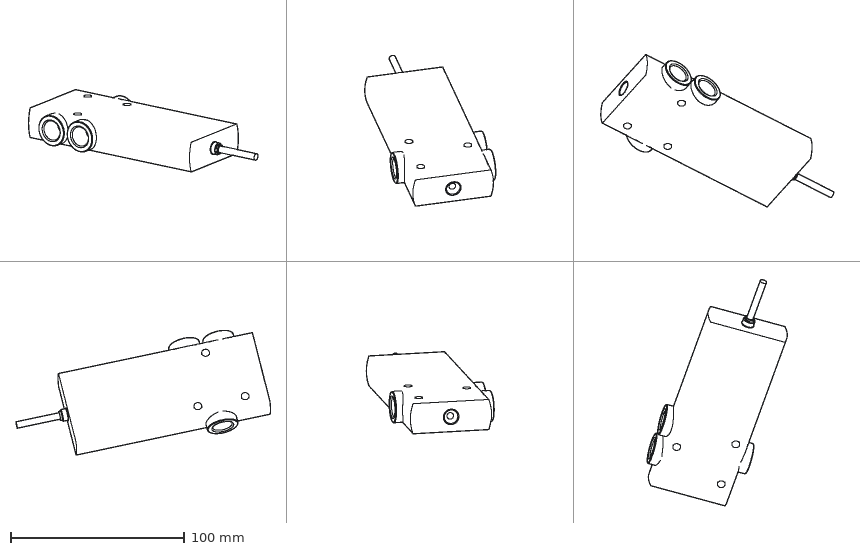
import cadquery as cq
import math

HEIGHT = 18.0
WIDTH = 48.0
VALVE_LENGTH = 56.0
COIL_LENGTH = 58.9
SIDE_RADIUS = 27.0
EDGE_FILLET = 0.5

BOSS_DIAMETER = 18.2
BOSS_REACH = 28.0
BOSS_ROOT_INSET = 4.0
BOSS_CHAMFER = 0.4
BORE_DIAMETER = 11.45
BORE_DEPTH = 14.0
BORE_CHAMFER = 0.75
CENTRE_PORT_X = 29.25
PORT_OFFSET_X = 10.1

MOUNT_DIAMETER = 4.5
MOUNT_Y = 16.0
FRONT_MOUNT_X = 13.25
REAR_MOUNT_X = 41.25

CAP_DIAMETER = 18.25
CAP_RISE = 0.5
RECESS_DIAMETER = 9.2
FUNNEL_DIAMETER = 8.0
FUNNEL_CHAMFER_DEPTH = 0.3
FUNNEL_DEPTH = 2.0
FUNNEL_END_DIAMETER = 3.9

CABLE_DIAMETER = 3.9
CABLE_LENGTH = 30.0
FLANGE_DIAMETER = 7.5
FLANGE_LENGTH = 0.3
COLLAR_DIAMETER = 7.0
COLLAR_END = 3.5
COLLAR_CHAMFER = 0.5
SLEEVE_DIAMETER = 5.4
SLEEVE_END = 4.5

HALF_HEIGHT = HEIGHT / 2
HALF_WIDTH = WIDTH / 2
BODY_LENGTH = VALVE_LENGTH + COIL_LENGTH
SIDE_SAG = SIDE_RADIUS - math.sqrt(SIDE_RADIUS**2 - HALF_HEIGHT**2)
CORNER_Y = HALF_WIDTH - SIDE_SAG


def housing_block(start_x, length):
    """Flat-topped block with bulged sides and softened long edges."""
    return (
        cq.Workplane("YZ", origin=(start_x, 0, 0))
        .moveTo(-CORNER_Y, -HALF_HEIGHT)
        .lineTo(CORNER_Y, -HALF_HEIGHT)
        .threePointArc((HALF_WIDTH, 0), (CORNER_Y, HALF_HEIGHT))
        .lineTo(-CORNER_Y, HALF_HEIGHT)
        .threePointArc((-HALF_WIDTH, 0), (-CORNER_Y, -HALF_HEIGHT))
        .close()
        .extrude(length)
        .edges("|X")
        .fillet(EDGE_FILLET)
    )


def height_slab():
    """Block of the housing height, large enough to trim anything above or below it."""
    return cq.Workplane("XY").box(2 * BODY_LENGTH, 2 * BOSS_REACH, HEIGHT)


def port_plane(x, side, y):
    """Workplane at distance y from the XZ plane, facing out of the given side."""
    return cq.Workplane(cq.Plane(origin=(x, side * y, 0), xDir=(1, 0, 0), normal=(0, side, 0)))


def port_boss(x, side, root_y):
    """Round boss trimmed flush with the top and bottom of the housing."""
    boss = (
        port_plane(x, side, root_y)
        .circle(BOSS_DIAMETER / 2)
        .extrude(BOSS_REACH - root_y)
        .faces(">Y" if side > 0 else "<Y")
        .chamfer(BOSS_CHAMFER)
    )
    return boss.intersect(height_slab())


def port_bore(x, side):
    """Blind bore with a chamfered mouth, as a cutting body."""
    radius = BORE_DIAMETER / 2
    bore = port_plane(x, side, BOSS_REACH).circle(radius).extrude(-BORE_DEPTH)
    mouth = cq.Solid.makeCone(
        radius + BORE_CHAMFER,
        radius,
        BORE_CHAMFER,
        cq.Vector(x, side * BOSS_REACH, 0),
        cq.Vector(0, -side, 0),
    )
    return bore.union(cq.Workplane(mouth))


def turned(profile):
    """Body turned about the X axis from (x, radius) points."""
    return cq.Workplane("XY").polyline(profile).close().revolve(360, (0, 0, 0), (1, 0, 0))


def front_cap():
    """Shallow cone on the front face, trimmed to the housing height."""
    return turned(
        [(0, 0), (0, CAP_DIAMETER / 2), (-CAP_RISE, RECESS_DIAMETER / 2), (-CAP_RISE, 0)]
    ).intersect(height_slab())


def front_funnel():
    """Chamfered conical recess in the cap, as a cutting body."""
    chamfer_end = FUNNEL_CHAMFER_DEPTH - CAP_RISE
    return turned(
        [
            (-CAP_RISE, 0),
            (-CAP_RISE, RECESS_DIAMETER / 2),
            (chamfer_end, FUNNEL_DIAMETER / 2),
            (FUNNEL_DEPTH, FUNNEL_END_DIAMETER / 2),
            (FUNNEL_DEPTH, 0),
        ]
    )


def cable_and_gland():
    """Flange, chamfered collar, sleeve and cable, stepping down along X."""
    profile = [
        (0, 0),
        (0, FLANGE_DIAMETER / 2),
        (FLANGE_LENGTH, FLANGE_DIAMETER / 2),
        (FLANGE_LENGTH, COLLAR_DIAMETER / 2),
        (COLLAR_END - COLLAR_CHAMFER, COLLAR_DIAMETER / 2),
        (COLLAR_END, COLLAR_DIAMETER / 2 - COLLAR_CHAMFER),
        (COLLAR_END, SLEEVE_DIAMETER / 2),
        (SLEEVE_END, SLEEVE_DIAMETER / 2),
        (SLEEVE_END, CABLE_DIAMETER / 2),
        (CABLE_LENGTH, CABLE_DIAMETER / 2),
        (CABLE_LENGTH, 0),
    ]
    return turned(profile).translate((BODY_LENGTH, 0, 0))


INNER_ROOT_Y = HALF_WIDTH - BOSS_ROOT_INSET
PORTS = [
    (CENTRE_PORT_X, 1, INNER_ROOT_Y),
    (CENTRE_PORT_X - PORT_OFFSET_X, -1, INNER_ROOT_Y),
    (CENTRE_PORT_X + PORT_OFFSET_X, -1, CORNER_Y),
]
MOUNTS = [(FRONT_MOUNT_X, MOUNT_Y), (REAR_MOUNT_X, MOUNT_Y), (CENTRE_PORT_X, -MOUNT_Y)]

result = housing_block(0, VALVE_LENGTH)
for port_x, port_side, boss_root_y in PORTS:
    result = result.union(port_boss(port_x, port_side, boss_root_y))
result = result.union(housing_block(VALVE_LENGTH, COIL_LENGTH), clean=False)
result = result.union(front_cap(), clean=False)
result = result.union(cable_and_gland(), clean=False)

for port_x, port_side, _ in PORTS:
    result = result.cut(port_bore(port_x, port_side), clean=False)

mount_holes = (
    cq.Workplane("XY", origin=(0, 0, -HALF_HEIGHT))
    .pushPoints(MOUNTS)
    .circle(MOUNT_DIAMETER / 2)
    .extrude(HEIGHT)
)
result = result.cut(mount_holes, clean=False)
result = result.cut(front_funnel(), clean=False)